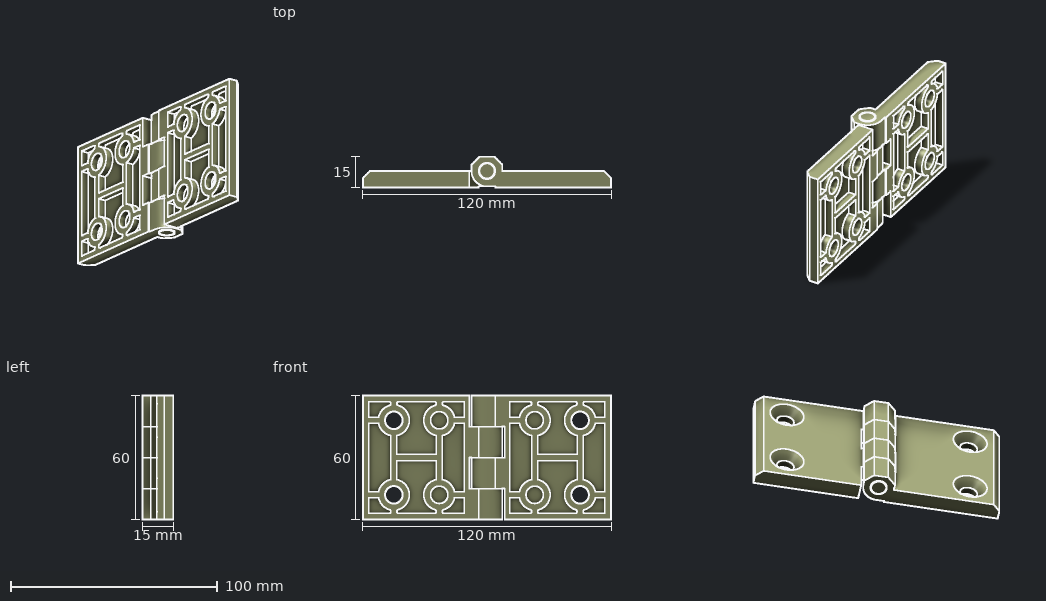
import cadquery as cq
import math


hinge_width = 120.0
hinge_height = 60.0
hinge_depth = 15.0
leaf_reach = hinge_width / 2
half_height = hinge_height / 2

plate_thickness = 8.0
end_chamfer = 3.5
knuckle_gap_edge = 8.5

knuckle_count = 4
knuckle_height = hinge_height / knuckle_count
knuckle_radius = knuckle_height / 2
knuckle_chamfer = 4.0
axis_y = plate_thickness
relief_reach = 4.1

pin_radius = 4.0
pin_chamfer = 0.3

outer_hole_x = 45.0
inner_hole_x = 23.0
hole_z = 18.0
hole_radius = 4.2
countersink_radius = 8.3
boss_radius = 15.0 / 2
rim_width = 3.0
rib_width = 3.0
pocket_inner_x = 11.0
pocket_depth = 4.0
pocket_fillet = 0.8

hole_columns = (-outer_hole_x, -inner_hole_x)
hole_rows = (-hole_z, hole_z)
hole_centers = [(x, z) for x in hole_columns for z in hole_rows]
pocket_left = -leaf_reach + rim_width
pocket_right = -pocket_inner_x
pocket_top = half_height - rim_width


def block(x_min, x_max, z_min, z_max, y_min, y_max):
    """Box given by its limits along each axis."""
    size = (x_max - x_min, y_max - y_min, z_max - z_min)
    return cq.Workplane("XY").box(*size, centered=False).translate((x_min, y_min, z_min))


def rods(centers, radius, y_min, length):
    """Cylinders along +Y, starting at y_min, at the given (x, z) centers."""
    plane = cq.Workplane("XZ", origin=(0, y_min, 0))
    return plane.pushPoints(centers).circle(radius).extrude(-length)


def leaf_blank():
    """Plate and knuckle in one cross-section, at full height."""
    shoulder_y = hinge_depth - knuckle_chamfer
    flat_half = knuckle_radius - knuckle_chamfer
    relief_y = axis_y - knuckle_radius
    arc_offset = knuckle_radius * math.sin(math.radians(45))
    return (
        cq.Workplane("XY", origin=(0, 0, -half_height))
        .moveTo(-leaf_reach, 0)
        .lineTo(-relief_reach, 0)
        .lineTo(-relief_reach, relief_y)
        .lineTo(0, relief_y)
        .threePointArc((arc_offset, axis_y - arc_offset), (knuckle_radius, axis_y))
        .lineTo(knuckle_radius, shoulder_y)
        .lineTo(flat_half, hinge_depth)
        .lineTo(-flat_half, hinge_depth)
        .lineTo(-knuckle_radius, shoulder_y)
        .lineTo(-knuckle_radius, plate_thickness)
        .lineTo(-leaf_reach + end_chamfer, plate_thickness)
        .lineTo(-leaf_reach, plate_thickness - end_chamfer)
        .close()
        .extrude(hinge_height)
    )


def knuckle_spaces():
    """Room for the other leaf's knuckles: every second band, from the top one down."""
    spaces = cq.Workplane("XY")
    for band in range(0, knuckle_count, 2):
        z_max = half_height - band * knuckle_height
        z_min = z_max - knuckle_height
        spaces = spaces.add(block(-knuckle_gap_edge, knuckle_radius, z_min, z_max, 0, hinge_depth))
    return spaces.combine()


def ribs():
    """Ribs that join the bosses to the rim and to each other."""
    half_rib = rib_width / 2
    web = block(*hole_columns, -half_rib, half_rib, 0, pocket_depth)
    for x in hole_columns:
        web = web.union(block(x - half_rib, x + half_rib, -pocket_top, pocket_top, 0, pocket_depth))
    for z in hole_rows:
        for x_min, x_max in ((pocket_left, hole_columns[0]), (hole_columns[1], pocket_right)):
            web = web.union(block(x_min, x_max, z - half_rib, z + half_rib, 0, pocket_depth))
    return web


def pockets():
    """Lightening pockets in the mounting face, rounded in their narrow ends beside the ribs."""
    half_rib = rib_width / 2
    cavity = block(pocket_left, pocket_right, -pocket_top, pocket_top, 0, pocket_depth)
    cavity = cavity.cut(rods(hole_centers, boss_radius, 0, pocket_depth)).cut(ribs())
    boss_corner_z = hole_z + math.sqrt(boss_radius**2 - half_rib**2)
    narrow_ends = [
        (x + side * half_rib, end * z)
        for x in hole_columns
        for side in (-1, 1)
        for end in (-1, 1)
        for z in (boss_corner_z, pocket_top)
    ]
    tolerance = 0.01

    def at_narrow_end(edge):
        center = edge.Center()
        return any(math.hypot(center.x - x, center.z - z) < tolerance for x, z in narrow_ends)

    corner_edges = [edge for edge in cavity.edges("|Y").vals() if at_narrow_end(edge)]
    return cavity.newObject(corner_edges).fillet(pocket_fillet)


def countersinks():
    """Countersinks for the through holes, from the pocket floor's depth to the plate's show face."""
    depth = plate_thickness - pocket_depth
    cones = cq.Workplane("XY")
    for z in hole_rows:
        start = cq.Vector(-outer_hole_x, pocket_depth, z)
        cone = cq.Solid.makeCone(hole_radius, countersink_radius, depth, start, cq.Vector(0, 1, 0))
        cones = cones.add(cone)
    return cones.combine()


def hinge_leaf():
    """Left leaf: the column of holes near the pin is blind, the outer one is countersunk through."""
    pin_hole = (
        cq.Workplane("XY", origin=(0, axis_y, -half_height)).circle(pin_radius).extrude(hinge_height)
    )
    return (
        leaf_blank()
        .cut(knuckle_spaces())
        .cut(pin_hole)
        .cut(pockets())
        .cut(rods(hole_centers, hole_radius, 0, pocket_depth))
        .cut(countersinks())
    )


def hinge_pin():
    """Pin as long as the hinge is high, chamfered at both ends."""
    return (
        cq.Workplane("XY", origin=(0, axis_y, -half_height))
        .circle(pin_radius)
        .extrude(hinge_height)
        .edges()
        .chamfer(pin_chamfer)
    )


leaves = [hinge_leaf().rotate((0, 0, 0), (0, 1, 0), turn) for turn in (0, 180)]
pin = hinge_pin()

result = cq.Compound.makeCompound([*[leaf.val() for leaf in leaves], pin.val()])